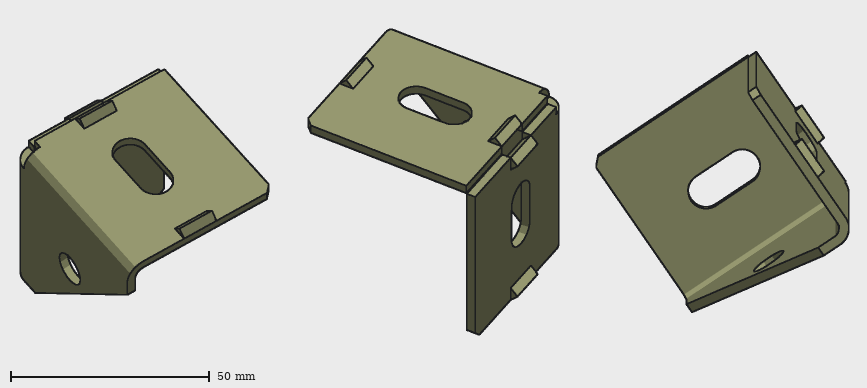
import cadquery as cq

size = 50.0
depth = 45.0
thickness = 2.5
bend_radius = 5.0
seam_clearance = 0.1
edge_inset = thickness + seam_clearance

web_end_width = 10.0
hole_diameter = 9.0
slot_length = 20.0
slot_width = hole_diameter
corner_chamfer = 2.0

tooth_height = 2.0
tooth_base = 2 * tooth_height
tooth_width = 10.0

flange_middle = size / 2
depth_middle = depth / 2


def make_front_flange():
    """Flat triangular web with a round hole, thickness along +Y from Y = 0."""
    top = size - bend_radius
    outline = [
        (bend_radius, 0),
        (web_end_width, 0),
        (size, size - web_end_width),
        (size, top),
        (bend_radius, top),
    ]
    web = cq.Workplane("XZ").polyline(outline).close().extrude(-thickness)
    hole = (
        cq.Workplane("XZ")
        .center(flange_middle, flange_middle)
        .circle(hole_diameter / 2)
        .extrude(-thickness)
    )
    return web.cut(hole)


def make_top_bend():
    """Quarter-round bend along X joining the front and top flanges."""
    inner_radius = bend_radius - thickness
    centre_z = size - bend_radius
    length = size - bend_radius
    ring = (
        cq.Workplane("YZ", origin=(bend_radius, bend_radius, centre_z))
        .circle(bend_radius)
        .circle(inner_radius)
        .extrude(length)
    )
    quarter = cq.Workplane("XY").box(length, bend_radius, bend_radius, centered=False)
    return ring.intersect(quarter.translate((bend_radius, 0, centre_z)))


def tooth_prism(points):
    """Extrude an XZ profile over the tooth width, centred on the bracket depth."""
    start = (0, depth_middle - tooth_width / 2, 0)
    return cq.Workplane("XZ", origin=start).polyline(points).close().extrude(-tooth_width)


def make_tooth(start_x):
    """Triangular tooth standing on the top flange, its base beginning at start_x."""
    return tooth_prism([
        (start_x, size),
        (start_x + tooth_height, size + tooth_height),
        (start_x + tooth_base, size),
    ])


def make_top_flange():
    """Slotted top flange with a tooth near each end."""
    flange_depth = depth - bend_radius
    flange = (
        cq.Workplane("XY")
        .box(size - edge_inset, flange_depth, thickness, centered=False)
        .translate((edge_inset, bend_radius, size - thickness))
        .edges("|Z and >X and >Y")
        .chamfer(corner_chamfer)
    )
    slot = (
        cq.Workplane("XY", origin=(flange_middle, depth_middle, size - thickness))
        .slot2D(slot_length, slot_width)
        .extrude(thickness)
    )
    seam_bevel = tooth_prism([
        (edge_inset, size),
        (edge_inset, size - thickness),
        (edge_inset + thickness, size - thickness),
    ])
    flange = flange.cut(slot).cut(seam_bevel)
    for start_x in (edge_inset, size - tooth_base):
        flange = flange.union(make_tooth(start_x))
    return flange


top_half = make_top_bend().union(make_top_flange())
side_half = top_half.mirror(cq.Vector(1, 0, 1), (0, 0, size))

result = make_front_flange().union(top_half).union(side_half)